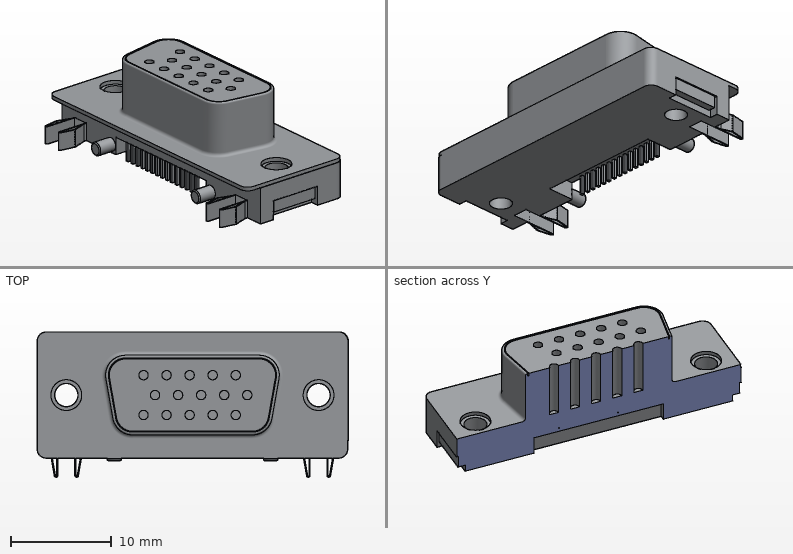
import cadquery as cq
import math


flange_length = 30.8
flange_width = 12.53
flange_thickness = 0.4
corner_radius = 0.93
body_length = 30.85
body_depth = 10.77
body_height = 3.9
flange_top = body_height + flange_thickness
body_left = -flange_length / 2
body_back = flange_width / 2
body_front = body_back - body_depth

mount_spacing = 25.0
mount_hole_diameter = 2.28
flange_hole_diameter = 3.05

shell_top = 10.05
shell_half_width = 3.95
shell_corner_radius = 1.98
shell_side_angle = math.radians(10)
back_corner_x = 6.65
base_fillet = 0.37
top_fillet = 0.2
rim_gap_offset = 0.28
rim_gap_width = 0.1
rim_gap_depth = 0.3

contact_diameter = 0.93
contact_pitch = 2.28
contact_columns = 5
contact_row_spacing = 1.98
contact_middle_x = 0.293
contact_depth = shell_top - flange_top

pocket_width = 14.0
pocket_depth = 3.1
pocket_height = 1.88
terminal_count = 15
terminal_row_length = 10.68
terminal_pitch = terminal_row_length / (terminal_count - 1)
terminal_size = 0.3
terminal_y = -4.3
terminal_tip_z = -0.2

recess_width = 5.68
recess_height = 2.05
recess_depth = 0.93
pad_width = 5.3
pad_bottom = 0.75
pad_setback = 0.15

post_diameter = 1.42
post_spacing = 15.5
post_z = 0.9
post_tip_y = -6.55
post_chamfer = 0.12

clip_height = pocket_height
clip_sheet = 0.12
clip_inner_x = 0.83
clip_root_x = clip_inner_x + clip_sheet
clip_slot_depth = 1.85
clip_barb_x = 1.48
clip_tip_width = 0.37
clip_bend_y = -4.85
clip_barb_y = -6.4
clip_tip_y = -8.15


def box(x_min, x_max, y_min, y_max, z_min, z_max):
    size = (x_max - x_min, y_max - y_min, z_max - z_min)
    return cq.Workplane("XY").box(*size, centered=False).translate((x_min, y_min, z_min))


def shell_prism(inset, z_min, z_max):
    """Rounded D outline, moved inward by inset, as a solid between two heights."""
    radius = shell_corner_radius - inset
    back_y = shell_half_width - shell_corner_radius
    front_y = -back_y
    front_x = back_corner_x - (back_y - front_y) * math.tan(shell_side_angle)
    back_angle = (math.pi / 2 - shell_side_angle) / 2
    front_angle = -(math.pi / 2 + shell_side_angle) / 2

    def on_corner(side, centre_x, centre_y, angle):
        x = side * (centre_x + radius * math.cos(angle))
        return x, centre_y + radius * math.sin(angle)

    def back(side, angle):
        return on_corner(side, back_corner_x, back_y, angle)

    def front(side, angle):
        return on_corner(side, front_x, front_y, angle)

    tangent = -shell_side_angle
    outline = (
        cq.Workplane("XY", origin=(0, 0, z_min))
        .moveTo(*back(-1, math.pi / 2))
        .lineTo(*back(1, math.pi / 2))
        .threePointArc(back(1, back_angle), back(1, tangent))
        .lineTo(*front(1, tangent))
        .threePointArc(front(1, front_angle), front(1, -math.pi / 2))
        .lineTo(*front(-1, -math.pi / 2))
        .threePointArc(front(-1, front_angle), front(-1, tangent))
        .lineTo(*back(-1, tangent))
        .threePointArc(back(-1, back_angle), back(-1, math.pi / 2))
        .close()
    )
    return outline.extrude(z_max - z_min)


def make_flange_with_shell():
    flange = (
        cq.Workplane("XY", origin=(0, 0, body_height))
        .rect(flange_length, flange_width)
        .extrude(flange_thickness)
        .edges("|Z")
        .fillet(corner_radius)
    )
    shell = shell_prism(0, body_height, shell_top).faces(">Z").edges().fillet(top_fillet)
    joined = flange.union(shell)
    joint_edges = joined.faces("+Z").faces("<Z").val().innerWires()[0].Edges()
    return joined.newObject(joint_edges).fillet(base_fillet)


def make_body():
    body = box(body_left, body_left + body_length, body_front, body_back, 0, body_height)
    return body.edges("|Z and >Y").fillet(corner_radius)


def cut_side_recesses(body):
    for face_x, inward in ((body_left, 1), (body_left + body_length, -1)):
        deep_x = face_x + inward * recess_depth
        pad_x = face_x + inward * pad_setback
        half_recess = recess_width / 2
        half_pad = pad_width / 2
        recess = box(min(face_x, deep_x), max(face_x, deep_x), -half_recess, half_recess, 0, recess_height)
        pad = box(min(pad_x, deep_x), max(pad_x, deep_x), -half_pad, half_pad, pad_bottom, recess_height)
        body = body.cut(recess.cut(pad))
    return body


def cut_terminal_pocket(body):
    half = pocket_width / 2
    return body.cut(box(-half, half, body_front, body_front + pocket_depth, 0, pocket_height))


def cut_clip_slots(body):
    for side in (-1, 1):
        centre_x = side * mount_spacing / 2
        slot_back = body_front + clip_slot_depth
        slot = box(centre_x - clip_root_x, centre_x + clip_root_x, body_front, slot_back, 0, clip_height)
        body = body.cut(slot)
    return body


def make_terminals():
    centres = [
        ((i - (terminal_count - 1) / 2) * terminal_pitch, terminal_y) for i in range(terminal_count)
    ]
    return (
        cq.Workplane("XY", origin=(0, 0, terminal_tip_z))
        .pushPoints(centres)
        .rect(terminal_size, terminal_size)
        .extrude(pocket_height - terminal_tip_z)
    )


def cut_rim_gap(part):
    floor_z = shell_top - rim_gap_depth
    outer = shell_prism(rim_gap_offset, floor_z, shell_top)
    inner = shell_prism(rim_gap_offset + rim_gap_width, floor_z, shell_top)
    return part.cut(outer.cut(inner))


def make_contact_holes():
    centres = []
    for row in (-1, 0, 1):
        shift = contact_pitch / 4 * (1 if row == 0 else -1)
        for column in range(contact_columns):
            x = contact_middle_x + shift + (column - (contact_columns - 1) / 2) * contact_pitch
            centres.append((x, row * contact_row_spacing))
    return (
        cq.Workplane("XY", origin=(0, 0, shell_top))
        .pushPoints(centres)
        .circle(contact_diameter / 2)
        .extrude(-contact_depth)
    )


def make_mount_holes():
    centres = [(-mount_spacing / 2, 0), (mount_spacing / 2, 0)]
    bore = cq.Workplane("XY").pushPoints(centres).circle(mount_hole_diameter / 2).extrude(flange_top)
    clearance = (
        cq.Workplane("XY", origin=(0, 0, body_height))
        .pushPoints(centres)
        .circle(flange_hole_diameter / 2)
        .extrude(flange_thickness)
    )
    return bore.union(clearance)


def make_post(x):
    return (
        cq.Workplane("XZ", origin=(x, body_front, post_z))
        .circle(post_diameter / 2)
        .extrude(body_front - post_tip_y)
        .faces("<Y")
        .chamfer(post_chamfer)
    )


def prong_outline():
    """Outer outline of the +X prong of a clip centred on X = 0, rooted at the back of its slot."""
    tip_radius = clip_tip_width / 2
    fold_y = clip_tip_y + tip_radius
    return (
        cq.Workplane("XY")
        .moveTo(clip_inner_x, body_front + clip_slot_depth)
        .lineTo(clip_root_x, body_front + clip_slot_depth)
        .lineTo(clip_root_x, clip_bend_y)
        .lineTo(clip_barb_x, clip_barb_y)
        .lineTo(clip_inner_x + clip_tip_width, fold_y)
        .threePointArc((clip_inner_x + tip_radius, clip_tip_y), (clip_inner_x, fold_y))
        .close()
    )


def make_clip(x):
    """Two barbed prongs, each a sheet folded back at its tip around a hollow."""
    hollow = prong_outline().offset2D(-clip_sheet).extrude(clip_height)
    prong = prong_outline().extrude(clip_height).cut(hollow)
    return prong.union(prong.mirror("YZ")).translate((x, 0, 0))


result = make_flange_with_shell()
body = cut_side_recesses(make_body())
body = cut_terminal_pocket(body)
body = cut_clip_slots(body)
result = result.union(body)
result = cut_rim_gap(result)
result = result.cut(make_contact_holes())
result = result.cut(make_mount_holes())
result = result.union(make_terminals())
for side in (-1, 1):
    result = result.union(make_post(side * post_spacing / 2))
    result = result.union(make_clip(side * mount_spacing / 2))